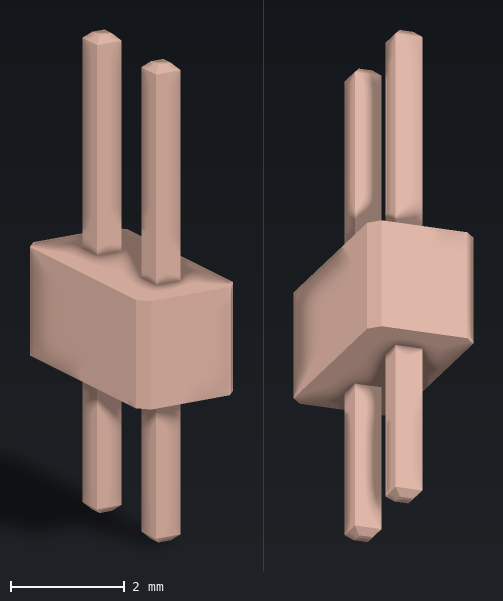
import cadquery as cq

pitch = 2.0
pin_count = 2
pin_length = 8.8
pin_width = 0.5
tail_length = 2.8
tip_height = 0.12
tip_inset = 0.12
corner_along_x = 0.2
corner_along_y = 0.19

body_length = 4.0
body_depth = pitch
body_height = pitch
tip_width = pin_width - 2 * tip_inset
shank_length = pin_length - 2 * tip_height


def make_body():
    """Rectangular housing with its four vertical corners cut off."""
    half_x = body_length / 2
    half_y = body_depth / 2
    flat_x = half_x - corner_along_x
    flat_y = half_y - corner_along_y
    outline = [
        (-flat_x, -half_y),
        (flat_x, -half_y),
        (half_x, -flat_y),
        (half_x, flat_y),
        (flat_x, half_y),
        (-flat_x, half_y),
        (-half_x, flat_y),
        (-half_x, -flat_y),
    ]
    return cq.Workplane("XY").polyline(outline).close().extrude(body_height)


def make_tip(base_z, height):
    """Tapered pin end starting at base_z; a negative height points it down."""
    return (
        cq.Workplane("XY", origin=(0, 0, base_z))
        .rect(pin_width, pin_width)
        .workplane(offset=height)
        .rect(tip_width, tip_width)
        .loft(ruled=True)
    )


def make_pin():
    """Square pin through the body, tapered at both ends."""
    shank_bottom = -tail_length + tip_height
    shank = (
        cq.Workplane("XY", origin=(0, 0, shank_bottom))
        .rect(pin_width, pin_width)
        .extrude(shank_length)
    )
    top_tip = make_tip(shank_bottom + shank_length, tip_height)
    bottom_tip = make_tip(shank_bottom, -tip_height)
    return shank.union(top_tip).union(bottom_tip)


result = make_body()
for index in range(pin_count):
    pin_x = (index - (pin_count - 1) / 2) * pitch
    result = result.union(make_pin().translate((pin_x, 0, 0)))